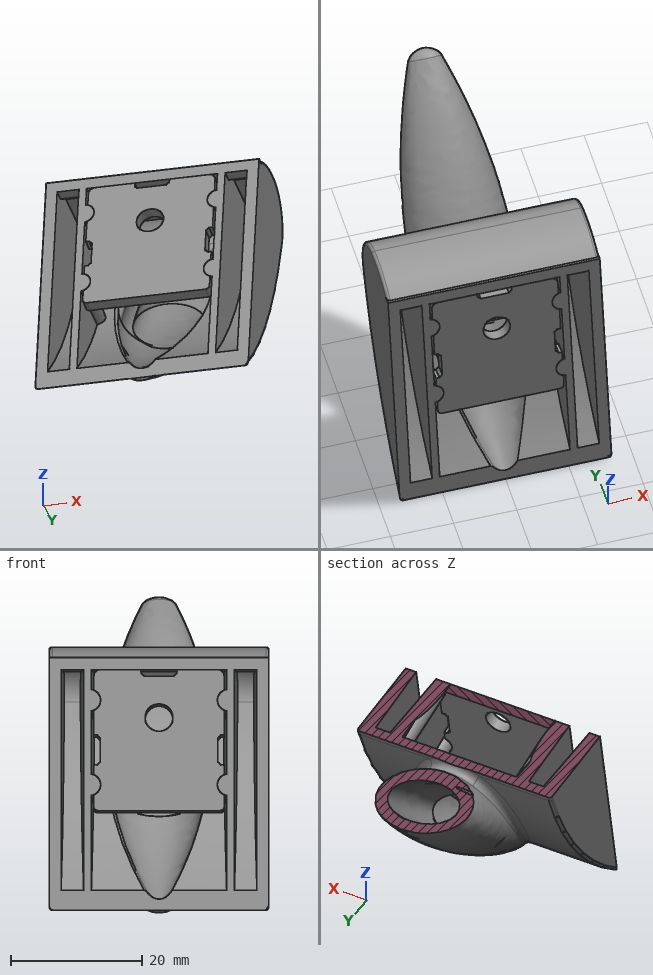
import cadquery as cq
import math

WALL = 1.92
SIDE_WALL = 1.85
FACE_TILT = 10

HOUSING_WIDTH = 33.5
FACE_HEIGHT = 39.15
RIM_DEPTH = 0.5
SIDE_ROUND = 0.5
NOSE_CENTER_Y = 15.2
NOSE_CENTER_Z = 33.35
NOSE_RADIUS = 6.7
NOSE_TOP_ANGLE = 80
NOSE_BOTTOM_ANGLE = -19

RECESS_HALF_WIDTH = 10.3
RIB_THICKNESS = 1.2
POCKET_DRAFT = 2
FLOOR_EDGE_HEIGHT = 3.15
POCKET_TOP_HEIGHT = FACE_HEIGHT - WALL
CAVITY_REACH = 28.85
BOSS_RADIUS = 1.7
BOSS_X = 10.6
BOSS_HEIGHTS = (19.45, 32.55)

HORN_LENGTH = 67.18
HORN_MIDDLE = 34.4
HORN_HALF_WIDTH = 8.25
HORN_HALF_HEIGHT = 5.8
WIDTH_SPAN = 37.85
HEIGHT_SPAN = 36.0
HORN_BLEND = 0.95
TIP_LENGTH = 1.55
TIP_ANGLES = (0, 25, 50, 70, 85)
SECTION_COUNT = 8

GROOVE_START = 1.45
GROOVE_END = 24.55
GROOVE_RISE = 2.65
GROOVE_SIDE_INSET = 0.2
GROOVE_RIM_ROUND = 0.45
CORE_START = 23.6
CORE_END = 58.7

PLATE_HALF_WIDTH = 9.95
PLATE_BOTTOM_HEIGHT = 15.45
PLATE_THICKNESS = 2.0
PLATE_TOP_ROUND = 1.0
PLATE_BOTTOM_ROUND = 0.63
SCREW_HOLE_RADIUS = 2.1
SCREW_HOLE_HEIGHT = 29.85
NOTCH_DEPTH = 1.0
NOTCH_CHAMFER = 0.5
TOP_NOTCH_LENGTH = 5.45
SIDE_NOTCH_LENGTH = 4.6
SIDE_NOTCH_HEIGHT = 24.85

HALF_HOUSING = HOUSING_WIDTH / 2
SIN_TILT = math.sin(math.radians(FACE_TILT))
COS_TILT = math.cos(math.radians(FACE_TILT))
FACE_PLANE = cq.Plane(origin=(0, 0, 0), xDir=(1, 0, 0), normal=(0, -COS_TILT, SIN_TILT))
DEPTH_PLANE = cq.Plane(origin=(0, 0, 0), xDir=(1, 0, 0), normal=(0, SIN_TILT, COS_TILT))


def face_point(height, depth):
    """(Y, Z) of a point at a height along the mounting face and a depth behind it."""
    y = height * SIN_TILT + depth * COS_TILT
    z = height * COS_TILT - depth * SIN_TILT
    return (y, z)


def nose_point(radius, degrees):
    """(Y, Z) of a point around the nose centre at an angle above +Y."""
    angle = math.radians(degrees)
    return (NOSE_CENTER_Y + radius * math.cos(angle), NOSE_CENTER_Z + radius * math.sin(angle))


def side_block(nose_radius, bottom_height, top_height, rim_depth):
    """Full-width block bounded by the mounting face, a flat rim, the top arc, the nose and the underside."""
    nose_top = nose_point(nose_radius, NOSE_TOP_ANGLE)
    nose_middle = nose_point(nose_radius, (NOSE_TOP_ANGLE + NOSE_BOTTOM_ANGLE) / 2)
    nose_bottom = nose_point(nose_radius, NOSE_BOTTOM_ANGLE)
    bottom_corner = face_point(bottom_height, 0)
    rim_back = face_point(top_height, rim_depth)
    tangent_angle = math.radians(NOSE_TOP_ANGLE + 90)
    top_arc = cq.Edge.makeTangentArc(
        cq.Vector(*nose_top),
        cq.Vector(math.cos(tangent_angle), math.sin(tangent_angle)),
        cq.Vector(*rim_back),
    )
    top_middle = top_arc.positionAt(0.5)
    return (
        cq.Workplane("YZ", origin=(-HALF_HOUSING, 0, 0))
        .moveTo(*bottom_corner)
        .lineTo(*face_point(top_height, 0))
        .lineTo(*rim_back)
        .threePointArc((top_middle.x, top_middle.y), nose_top)
        .threePointArc(nose_middle, nose_bottom)
        .tangentArcPoint(bottom_corner, relative=False)
        .close()
        .extrude(HOUSING_WIDTH)
    )


def horn_half_width(station):
    return HORN_HALF_WIDTH * (1 - ((station - HORN_MIDDLE) / WIDTH_SPAN) ** 2)


def horn_half_height(station):
    return HORN_HALF_HEIGHT * (1 - ((station - HORN_MIDDLE) / HEIGHT_SPAN) ** 2)


def horn_section(station, width_inset=0.0, height_inset=0.0, rise=0.0, scale=1.0):
    """Ellipse square to the horn axis, inset from the horn surface and raised above the axis."""
    along = station * math.sqrt(0.5)
    up = rise * math.sqrt(0.5)
    return cq.Wire.makeEllipse(
        scale * (horn_half_width(station) - width_inset),
        scale * (horn_half_height(station) - height_inset),
        center=cq.Vector(0, along - up, along + up),
        normal=cq.Vector(0, 1, 1),
        xDir=cq.Vector(1, 0, 0),
    )


def horn_loft(start, end, **section_options):
    step = (end - start) / (SECTION_COUNT - 1)
    sections = [horn_section(start + i * step, **section_options) for i in range(SECTION_COUNT)]
    return cq.Workplane(cq.Solid.makeLoft(sections))


def horn_tip(start):
    angles = [math.radians(degrees) for degrees in TIP_ANGLES]
    sections = [horn_section(start + TIP_LENGTH * math.sin(a), scale=math.cos(a)) for a in angles]
    return cq.Workplane(cq.Solid.makeLoft(sections))


def horn():
    """Solid horn, cut off flush with the mounting face."""
    tip_start = HORN_LENGTH - TIP_LENGTH
    in_front_of_face = cq.Workplane(FACE_PLANE).rect(HOUSING_WIDTH, FACE_HEIGHT).extrude(CAVITY_REACH)
    return horn_loft(0, tip_start).union(horn_tip(tip_start)).cut(in_front_of_face)


def horn_groove():
    """Groove whose lowest line lies one wall thickness above the underside of the horn."""
    return horn_loft(
        GROOVE_START,
        GROOVE_END,
        width_inset=GROOVE_SIDE_INSET,
        height_inset=WALL - GROOVE_RISE,
        rise=GROOVE_RISE,
    )


def horn_core():
    return horn_loft(CORE_START, CORE_END, width_inset=WALL, height_inset=WALL)


def outer_body():
    """Block with rounded sides, blended into the horn."""
    block = side_block(NOSE_RADIUS, 0, FACE_HEIGHT, RIM_DEPTH)
    block = block.faces("<X or >X").edges("%CIRCLE").fillet(SIDE_ROUND)
    body = block.union(horn())
    seam_center = (0, NOSE_CENTER_Y, NOSE_CENTER_Z / 2)
    return body.edges(cq.selectors.NearestToPointSelector(seam_center)).fillet(HORN_BLEND)


def bosses():
    """Round columns on the inner sides of the ribs, which locate the plate."""
    centers = [(side * BOSS_X, height) for side in (-1, 1) for height in BOSS_HEIGHTS]
    return cq.Workplane(FACE_PLANE).pushPoints(centers).circle(BOSS_RADIUS).extrude(-CAVITY_REACH)


def drafted_slot(left, right):
    """Slot between two X positions at the mounting face, narrowing with depth."""
    narrowing = CAVITY_REACH * math.tan(math.radians(POCKET_DRAFT))
    corners = [
        (left, 0),
        (right, 0),
        (right - narrowing, CAVITY_REACH),
        (left + narrowing, CAVITY_REACH),
    ]
    return cq.Workplane(DEPTH_PLANE).polyline(corners).close().extrude(FACE_HEIGHT)


def pockets():
    """Middle recess and two side pockets, all ending one wall inside the outer surface."""
    rib_outside = RECESS_HALF_WIDTH + RIB_THICKNESS
    wall_inside = HALF_HOUSING - SIDE_WALL
    slots = (
        drafted_slot(-RECESS_HALF_WIDTH, RECESS_HALF_WIDTH)
        .cut(bosses())
        .union(drafted_slot(rib_outside, wall_inside))
        .union(drafted_slot(-wall_inside, -rib_outside))
    )
    inside = side_block(NOSE_RADIUS - WALL, FLOOR_EDGE_HEIGHT, POCKET_TOP_HEIGHT, WALL)
    return inside.intersect(slots)


def make_housing():
    body = outer_body().cut(pockets()).cut(horn_groove())
    rim_side = (-5.05, 7.45, 10.6)
    body = body.edges(cq.selectors.NearestToPointSelector(rim_side)).fillet(GROOVE_RIM_ROUND)
    return body.cut(horn_core())


def notch_cutter(length, x, height, turn):
    """Notch with chamfered corners, turned about the face normal and moved to a place on the face."""
    half_length = length / 2
    half_bottom = half_length - NOTCH_CHAMFER
    chamfer_top = NOTCH_CHAMFER - NOTCH_DEPTH
    outline = [
        (-half_length, 0),
        (-half_length, chamfer_top),
        (-half_bottom, -NOTCH_DEPTH),
        (half_bottom, -NOTCH_DEPTH),
        (half_length, chamfer_top),
        (half_length, 0),
    ]
    cutter = cq.Workplane(FACE_PLANE).polyline(outline).close().extrude(-PLATE_THICKNESS)
    place = FACE_PLANE.toWorldCoords((x, height))
    return cutter.rotate((0, 0, 0), FACE_PLANE.zDir.toTuple(), turn).translate(place)


def make_plate():
    plate_height = POCKET_TOP_HEIGHT - PLATE_BOTTOM_HEIGHT
    plate = (
        cq.Workplane(FACE_PLANE)
        .center(0, PLATE_BOTTOM_HEIGHT + plate_height / 2)
        .rect(2 * PLATE_HALF_WIDTH, plate_height)
        .extrude(-PLATE_THICKNESS)
    )
    corners = cq.selectors.ParallelDirSelector(FACE_PLANE.zDir)
    plate = plate.edges(corners).edges(">Z").fillet(PLATE_TOP_ROUND)
    plate = plate.edges(corners).edges("<Z").fillet(PLATE_BOTTOM_ROUND)

    screw_hole = (
        cq.Workplane(FACE_PLANE)
        .center(0, SCREW_HOLE_HEIGHT)
        .circle(SCREW_HOLE_RADIUS)
        .extrude(-PLATE_THICKNESS)
    )
    plate = plate.cut(screw_hole).cut(bosses())
    plate = plate.cut(notch_cutter(TOP_NOTCH_LENGTH, 0, POCKET_TOP_HEIGHT, 0))
    for side in (-1, 1):
        edge_x = side * PLATE_HALF_WIDTH
        plate = plate.cut(notch_cutter(SIDE_NOTCH_LENGTH, edge_x, SIDE_NOTCH_HEIGHT, -90 * side))
    return plate


housing = make_housing()
plate = make_plate()
result = cq.Compound.makeCompound([housing.val(), plate.val()])